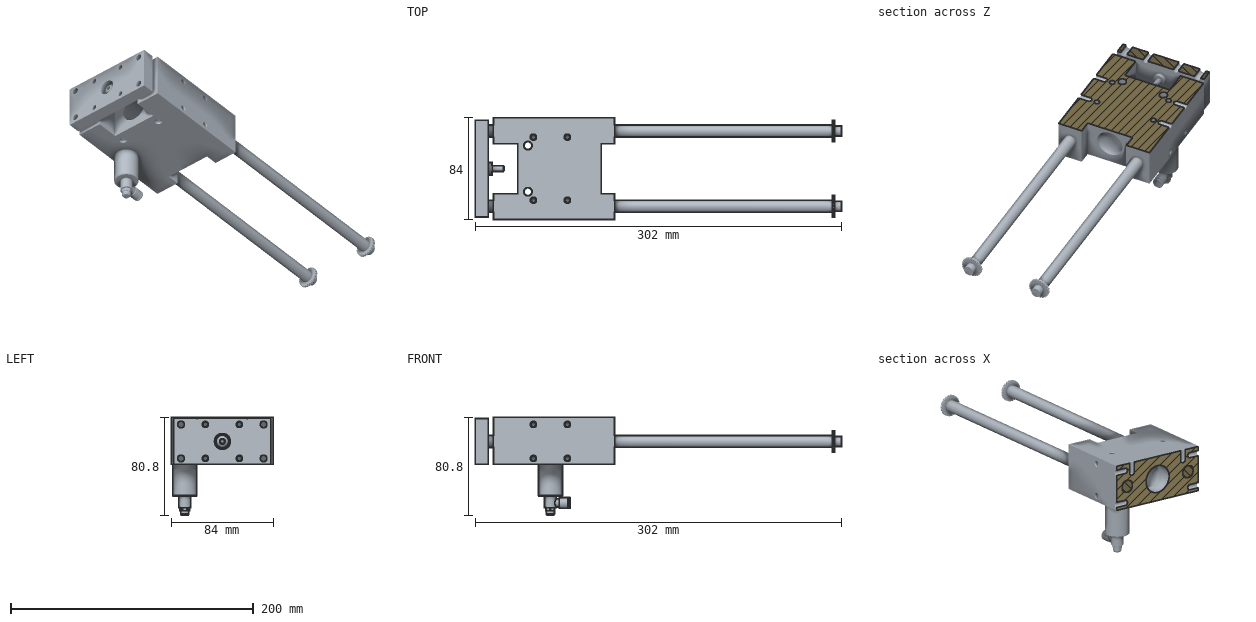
import cadquery as cq
import math


TOTAL_LENGTH = 302.0
PLATE_THICKNESS = 11.0
PLATE_WIDTH = 80.0
PLATE_HEIGHT = 38.0
PLATE_GAP = 4.0
HOUSING_LENGTH = 100.0
HOUSING_WIDTH = 84.0
HOUSING_HEIGHT = 39.0
HOUSING_FRONT = PLATE_THICKNESS + PLATE_GAP
HOUSING_BACK = HOUSING_FRONT + HOUSING_LENGTH
BOTTOM = -PLATE_HEIGHT / 2
HOUSING_TOP = BOTTOM + HOUSING_HEIGHT

ROD_SPACING = 62.0
ROD_Y = ROD_SPACING / 2
ROD_DIAMETER = 10.0
ROD_TIP_DIAMETER = 8.5
ROD_TIP_LENGTH = 7.5
ROD_SHOULDER = TOTAL_LENGTH - ROD_TIP_LENGTH
WASHER_DIAMETER = 18.0
WASHER_ROOT_DIAMETER = 16.2
WASHER_THICKNESS = 2.0
WASHER_TEETH = 22
WASHER_SLOT_WIDTH = 0.9

POCKET_WIDTH = 41.0
FRONT_POCKET_DEPTH = 20.0
BACK_POCKET_DEPTH = 11.0
CYLINDER_BORE_DIAMETER = 23.0
MOUNT_HOLE_DIAMETER = 6.5
MOUNT_HOLE_SPACING = 38.0
MOUNT_HOLE_X = HOUSING_FRONT + 28.5

THREAD_CORE_DIAMETER = 4.13
THREAD_MOUTH_DIAMETER = 5.0
THREAD_DEPTH = 10.0
DRILL_POINT_ANGLE = 118.0
HOLE_PITCH = 28.0
FIRST_THREAD_X = HOUSING_FRONT + 33.0
TOP_THREAD_SPACING = 52.0

CORNER_HOLE_DIAMETER = 5.5
CORNER_HOLE_SPACING = 68.0

COUNTERBORE_DIAMETER = 13.0
COUNTERBORE_DEPTH = 5.0
HEAD_DIAMETER = 10.5
HEAD_TOP_DIAMETER = 4.5
HEAD_HEIGHT = 3.3
HEAD_BULGE = 0.6
SOCKET_FLATS = 3.5
SOCKET_DEPTH = 2.0
COLLAR_DIAMETER = 10.5
COLLAR_LENGTH = 3.0
STUD_DIAMETER = 5.0
STUD_END = 24.0
STUD_CHAMFER = 1.0

CARTRIDGE_X = HOUSING_FRONT + 47.0
CARTRIDGE_DIAMETER = 20.0
CARTRIDGE_LENGTH = 26.0
CARTRIDGE_CHAMFER = 0.5
STEM_DIAMETER = 10.0
STEM_END = 35.5
NUT_FLATS = 7.5
NUT_CORNER_DIAMETER = 8.2
NUT_END = 38.2
NIPPLE_DIAMETER = 7.0
NIPPLE_END = 41.76
NIPPLE_TIP_DIAMETER = 5.5
NIPPLE_TAPER_LENGTH = 1.1
ELBOW_DROP = 31.7
ELBOW_NECK_DIAMETER = 7.0
ELBOW_SLEEVE_DIAMETER = 9.0
ELBOW_SLEEVE_START = 7.5
ELBOW_LENGTH = 16.4
ELBOW_RING_LENGTH = 1.2
ELBOW_RING_CHAMFER = 0.4
ELBOW_GROOVE_WIDTH = 0.8


def x_cylinder(diameter, start, end, y=0.0, z=0.0):
    """Cylinder along X between two X positions."""
    return cq.Workplane("YZ", origin=(start, y, z)).circle(diameter / 2).extrude(end - start)


def z_cylinder(diameter, top, bottom, x, y):
    """Cylinder along Z, hanging from the upper Z position."""
    return cq.Workplane("XY", origin=(x, y, top)).circle(diameter / 2).extrude(bottom - top)


def inner_plate_hole(y, z):
    """Cutter for a tapped hole right through the plate, countersunk at the front."""
    core = x_cylinder(THREAD_CORE_DIAMETER, 0, PLATE_THICKNESS, y, z)
    mouth_depth = (THREAD_MOUTH_DIAMETER - THREAD_CORE_DIAMETER) / 2
    mouth = x_cylinder(THREAD_MOUTH_DIAMETER, 0, 2 * mouth_depth, y, z)
    return core.union(mouth.faces(">X").chamfer(mouth_depth).translate((-mouth_depth, 0, 0)))


def threaded_hole(mouth, direction):
    """Cutter for a blind tapped hole with a countersunk mouth and a drill point."""
    core = THREAD_CORE_DIAMETER / 2
    rim = THREAD_MOUTH_DIAMETER / 2
    point_depth = core / math.tan(math.radians(DRILL_POINT_ANGLE / 2))
    profile = [
        (0, 0),
        (rim, 0),
        (core, rim - core),
        (core, THREAD_DEPTH),
        (0, THREAD_DEPTH + point_depth),
    ]
    across = (0, 0, 1) if direction[2] == 0 else (1, 0, 0)
    normal = cq.Vector(*across).cross(cq.Vector(*direction))
    plane = cq.Plane(origin=mouth, xDir=across, normal=normal.toTuple())
    return cq.Workplane(plane).polyline(profile).close().revolve(360, (0, 0), (0, 1))


def make_block():
    """Housing block with its end pockets and bores."""
    block = cq.Workplane("XY", origin=(HOUSING_FRONT, 0, BOTTOM)).box(
        HOUSING_LENGTH, HOUSING_WIDTH, HOUSING_HEIGHT, centered=(False, True, False)
    )

    pocket_spans = [
        (HOUSING_FRONT, FRONT_POCKET_DEPTH),
        (HOUSING_BACK - BACK_POCKET_DEPTH, BACK_POCKET_DEPTH),
    ]
    for start, depth in pocket_spans:
        pocket = cq.Workplane("XY", origin=(start, 0, BOTTOM)).box(
            depth, POCKET_WIDTH, HOUSING_HEIGHT, centered=(False, True, False)
        )
        block = block.cut(pocket)

    block = block.cut(x_cylinder(CYLINDER_BORE_DIAMETER, HOUSING_FRONT, HOUSING_BACK))
    for side in (-1, 1):
        block = block.cut(x_cylinder(ROD_DIAMETER, HOUSING_FRONT, HOUSING_BACK, side * ROD_Y))
        mount_y = side * MOUNT_HOLE_SPACING / 2
        block = block.cut(z_cylinder(MOUNT_HOLE_DIAMETER, HOUSING_TOP, BOTTOM, MOUNT_HOLE_X, mount_y))
    return block


def cut_housing_threads(block):
    """Tapped holes in the top face and in both side faces."""
    for x in (FIRST_THREAD_X, FIRST_THREAD_X + HOLE_PITCH):
        for side in (-1, 1):
            top_mouth = (x, side * TOP_THREAD_SPACING / 2, HOUSING_TOP)
            block = block.cut(threaded_hole(top_mouth, (0, 0, -1)))
            for z in (-HOLE_PITCH / 2, HOLE_PITCH / 2):
                side_mouth = (x, side * HOUSING_WIDTH / 2, z)
                block = block.cut(threaded_hole(side_mouth, (0, -side, 0)))
    return block


def make_cartridge():
    """Clamping cartridge with its stem, hexagon nut and nipple."""
    def level(depth):
        return BOTTOM - depth

    barrel = z_cylinder(CARTRIDGE_DIAMETER, BOTTOM, level(CARTRIDGE_LENGTH), CARTRIDGE_X, ROD_Y)
    barrel = barrel.faces("<Z").chamfer(CARTRIDGE_CHAMFER)
    stem = z_cylinder(STEM_DIAMETER, level(CARTRIDGE_LENGTH), level(STEM_END), CARTRIDGE_X, ROD_Y)
    nut = (
        cq.Workplane("XY", origin=(CARTRIDGE_X, ROD_Y, level(STEM_END)))
        .polygon(6, NUT_FLATS, circumscribed=True)
        .extrude(STEM_END - NUT_END)
    )
    nut = nut.intersect(
        z_cylinder(NUT_CORNER_DIAMETER, level(STEM_END), level(NUT_END), CARTRIDGE_X, ROD_Y)
    )
    nipple = z_cylinder(NIPPLE_DIAMETER, level(NUT_END), level(NIPPLE_END), CARTRIDGE_X, ROD_Y)
    taper_inset = (NIPPLE_DIAMETER - NIPPLE_TIP_DIAMETER) / 2
    nipple = nipple.faces("<Z").chamfer(NIPPLE_TAPER_LENGTH, taper_inset)
    return barrel.union(stem).union(nut).union(nipple)


def make_elbow():
    """Hose connector leaving the cartridge stem towards +X."""
    def section(diameter, start, end):
        return x_cylinder(diameter, CARTRIDGE_X + start, CARTRIDGE_X + end, ROD_Y, BOTTOM - ELBOW_DROP)

    ring_start = ELBOW_LENGTH - ELBOW_RING_LENGTH
    neck = section(ELBOW_NECK_DIAMETER, 0, ring_start)
    sleeve = section(ELBOW_SLEEVE_DIAMETER, ELBOW_SLEEVE_START, ring_start - ELBOW_GROOVE_WIDTH)
    ring = section(ELBOW_SLEEVE_DIAMETER, ring_start, ELBOW_LENGTH)
    ring = ring.faces(">X").chamfer(ELBOW_RING_CHAMFER)
    return neck.union(sleeve).union(ring)


def make_housing():
    """Housing body: block, clamping cartridge and hose connector."""
    block = cut_housing_threads(make_block())
    return block.union(make_cartridge()).union(make_elbow())


def make_plate():
    """Front plate with corner holes, inner tapped holes and screw counterbore."""
    plate = cq.Workplane("XY").box(
        PLATE_THICKNESS, PLATE_WIDTH, PLATE_HEIGHT, centered=(False, True, True)
    )
    for y_side in (-1, 1):
        for z in (-HOLE_PITCH / 2, HOLE_PITCH / 2):
            corner_y = y_side * CORNER_HOLE_SPACING / 2
            plate = plate.cut(x_cylinder(CORNER_HOLE_DIAMETER, 0, PLATE_THICKNESS, corner_y, z))
            inner_y = y_side * HOLE_PITCH / 2
            plate = plate.cut(inner_plate_hole(inner_y, z))
    return plate.cut(x_cylinder(COUNTERBORE_DIAMETER, 0, COUNTERBORE_DEPTH))


def make_screw():
    """Domed head with a hexagon socket, paired with the collar and stud behind the plate."""
    head_front = COUNTERBORE_DEPTH - HEAD_HEIGHT
    rim = HEAD_DIAMETER / 2
    crown = HEAD_TOP_DIAMETER / 2
    chord_length = math.hypot(HEAD_HEIGHT, rim - crown)
    dome_mid = (
        (head_front + COUNTERBORE_DEPTH) / 2 - HEAD_BULGE * (rim - crown) / chord_length,
        (rim + crown) / 2 + HEAD_BULGE * HEAD_HEIGHT / chord_length,
    )
    head = (
        cq.Workplane("XY")
        .moveTo(COUNTERBORE_DEPTH, 0)
        .lineTo(COUNTERBORE_DEPTH, rim)
        .threePointArc(dome_mid, (head_front, crown))
        .lineTo(head_front, 0)
        .close()
        .revolve(360, (0, 0), (1, 0))
    )
    socket = (
        cq.Workplane("YZ", origin=(head_front, 0, 0))
        .polygon(6, SOCKET_FLATS, circumscribed=True)
        .extrude(SOCKET_DEPTH)
    )
    collar = x_cylinder(COLLAR_DIAMETER, PLATE_THICKNESS, PLATE_THICKNESS + COLLAR_LENGTH)
    stud = x_cylinder(STUD_DIAMETER, PLATE_THICKNESS, STUD_END).faces(">X").chamfer(STUD_CHAMFER)
    return head.cut(socket), collar.union(stud)


def make_washer(y):
    """External-tooth lock washer seated on the shoulder of a rod."""
    washer = x_cylinder(WASHER_DIAMETER, ROD_SHOULDER, ROD_SHOULDER + WASHER_THICKNESS, y)
    slot_depth = (WASHER_DIAMETER - WASHER_ROOT_DIAMETER) / 2
    first_slot = (
        cq.Workplane("YZ", origin=(ROD_SHOULDER, y, 0))
        .center(0, WASHER_DIAMETER / 2)
        .rect(WASHER_SLOT_WIDTH, 2 * slot_depth)
        .extrude(WASHER_THICKNESS)
    )
    for index in range(WASHER_TEETH):
        turn = index * 360 / WASHER_TEETH
        washer = washer.cut(first_slot.rotate((0, y, 0), (1, y, 0), turn))
    return washer


def make_rod(y):
    """Guide rod with its reduced tip and lock washer."""
    shaft = x_cylinder(ROD_DIAMETER, PLATE_THICKNESS, ROD_SHOULDER, y)
    tip = x_cylinder(ROD_TIP_DIAMETER, ROD_SHOULDER, TOTAL_LENGTH, y)
    return shaft.union(tip).union(make_washer(y))


def make_slide():
    """Moving body: front plate, coupling screw and both guide rods."""
    slide = make_plate()
    for feature in make_screw():
        slide = slide.union(feature)
    for side in (-1, 1):
        slide = slide.union(make_rod(side * ROD_Y))
    return slide


housing = make_housing()
slide = make_slide()

result = cq.Compound.makeCompound([housing.val(), slide.val()])